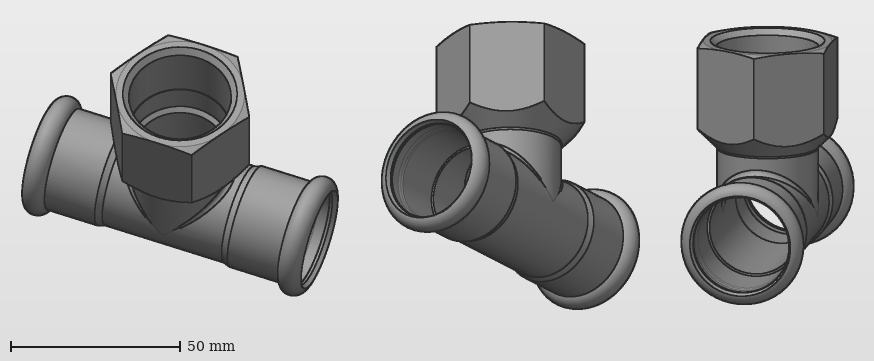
import cadquery as cq
import math

run_length = 88.2
half_run = run_length / 2
tube_radius = 30.0 / 2
bore_radius = 27.0 / 2

socket_outer_radius = 31.4 / 2
socket_bore_radius = 28.4 / 2
socket_depth = 23.1
shoulder_length = 2.1
bead_outer_radius = 18.35
bead_section_radius = 3.7
bead_centre_radius = bead_outer_radius - bead_section_radius
mouth_radius = 30.25 / 2
lip_radius = 28.8 / 2
lip_taper_length = 1.4
lip_end = 6.9
lip_step_length = 0.7
seal_groove_start = 2.4
seal_groove_end = 5.7
seal_groove_radius = 14.6

hex_top = 52.5
across_flats = 38.0
across_corners = across_flats / math.cos(math.pi / 6)
hex_base = 20.7
hex_base_radius = 15.3
hex_base_cone_rise = across_corners / 2 - hex_base_radius
neck_chamfer = 0.6
crown_radius = across_flats / 2
crown_drop = 0.7
thread_radius = 30.25 / 2
thread_bottom = 33.3
relief_radius = 30.0 / 2
relief_bottom = 24.7
relief_cone_depth = 1.15
entry_radius = 33.8 / 2
entry_depth = entry_radius - thread_radius

crotch_radius = 1.8
crotch_centre = tube_radius + crotch_radius
crotch_trim = 0.2
crotch_half_width = 14.1


def bead_offset(radius):
    """Axial half width of the bead section at a distance from the run axis."""
    return math.sqrt(bead_section_radius**2 - (radius - bead_centre_radius) ** 2)


def socket_end():
    """Half of the run's outside, from the mouth at -X to the middle plane."""
    bead_middle = -half_run + bead_offset(mouth_radius)
    shoulder = -half_run + socket_depth
    return (
        cq.Workplane("XZ")
        .moveTo(-half_run, 0)
        .lineTo(-half_run, mouth_radius)
        .threePointArc(
            (bead_middle, bead_outer_radius),
            (bead_middle + bead_offset(socket_outer_radius), socket_outer_radius),
        )
        .lineTo(shoulder, socket_outer_radius)
        .lineTo(shoulder + shoulder_length, tube_radius)
        .lineTo(0, tube_radius)
        .lineTo(0, 0)
        .close()
        .revolve(360, (0, 0, 0), (1, 0, 0))
    )


def socket_cavity():
    """Half of the run's inside, with the tapered lip and the seal groove inside the bead."""
    return (
        cq.Workplane("XZ")
        .moveTo(-half_run, 0)
        .lineTo(-half_run, mouth_radius)
        .lineTo(-half_run + lip_taper_length, lip_radius)
        .lineTo(-half_run + seal_groove_start, lip_radius)
        .lineTo(-half_run + seal_groove_start, seal_groove_radius)
        .lineTo(-half_run + seal_groove_end, seal_groove_radius)
        .lineTo(-half_run + lip_end, lip_radius)
        .lineTo(-half_run + lip_end + lip_step_length, socket_bore_radius)
        .lineTo(-half_run + socket_depth, socket_bore_radius)
        .lineTo(-half_run + socket_depth, bore_radius)
        .lineTo(0, bore_radius)
        .lineTo(0, 0)
        .close()
        .revolve(360, (0, 0, 0), (1, 0, 0))
    )


def both_ends(half):
    """Join a shape to its copy turned half a revolution about the branch axis."""
    return half.union(half.rotate((0, 0, 0), (0, 0, 1), 180))


def hex_head():
    """Hexagon trimmed by a cone underneath and a shallow chamfer on the crown."""
    prism = (
        cq.Workplane("XY")
        .workplane(offset=hex_base)
        .polygon(6, across_corners)
        .extrude(hex_top - hex_base)
    )
    envelope = (
        cq.Workplane("XZ")
        .moveTo(0, hex_base)
        .lineTo(hex_base_radius, hex_base)
        .lineTo(across_corners / 2, hex_base + hex_base_cone_rise)
        .lineTo(across_corners / 2, hex_top - crown_drop)
        .lineTo(crown_radius, hex_top)
        .lineTo(0, hex_top)
        .close()
        .revolve(360, (0, 0, 0), (0, 1, 0))
    )
    return prism.intersect(envelope)


def branch_neck():
    """Plain neck with a small flare up to the underside of the hexagon."""
    return (
        cq.Workplane("XZ")
        .lineTo(tube_radius, 0)
        .lineTo(tube_radius, hex_base - neck_chamfer)
        .lineTo(hex_base_radius, hex_base)
        .lineTo(0, hex_base)
        .close()
        .revolve(360, (0, 0, 0), (0, 1, 0))
    )


def branch_cavity():
    return (
        cq.Workplane("XZ")
        .lineTo(bore_radius, 0)
        .lineTo(bore_radius, relief_bottom - relief_cone_depth)
        .lineTo(relief_radius, relief_bottom)
        .lineTo(relief_radius, thread_bottom)
        .lineTo(thread_radius, thread_bottom)
        .lineTo(thread_radius, hex_top - entry_depth)
        .lineTo(entry_radius, hex_top)
        .lineTo(0, hex_top)
        .close()
        .revolve(360, (0, 0, 0), (0, 1, 0))
    )


def crotch_fillet():
    """Fillet on the +X side: a wedge through the edge lines, hollowed by a round sweep.

    The tubes have equal diameters, so the rolling circle's centre follows an
    ellipse in the plane x = z and the fillet fades out toward both tips.
    """
    crotch_edge = tube_radius + crotch_trim
    wedge = (
        cq.Workplane("XZ")
        .lineTo(crotch_centre, crotch_edge)
        .lineTo(crotch_edge, crotch_centre)
        .close()
        .extrude(crotch_half_width, both=True)
    )
    across_plane = cq.Plane(origin=(0, 0, 0), xDir=(1, 0, 1), normal=(1, 0, -1))
    centre_ellipse = cq.Workplane(across_plane).ellipse(crotch_centre * math.sqrt(2), crotch_centre)
    inside_centre_path = centre_ellipse.extrude(crotch_radius, both=True)
    rolling_section = cq.Plane(
        origin=(crotch_centre, 0, crotch_centre), xDir=(1, 0, -1), normal=(0, 1, 0)
    )
    rolling_sweep = cq.Workplane(rolling_section).circle(crotch_radius).sweep(centre_ellipse)
    return wedge.intersect(inside_centre_path).cut(rolling_sweep)


outside = both_ends(socket_end()).union(branch_neck()).union(hex_head()).union(both_ends(crotch_fillet()))
result = outside.cut(both_ends(socket_cavity())).cut(branch_cavity())